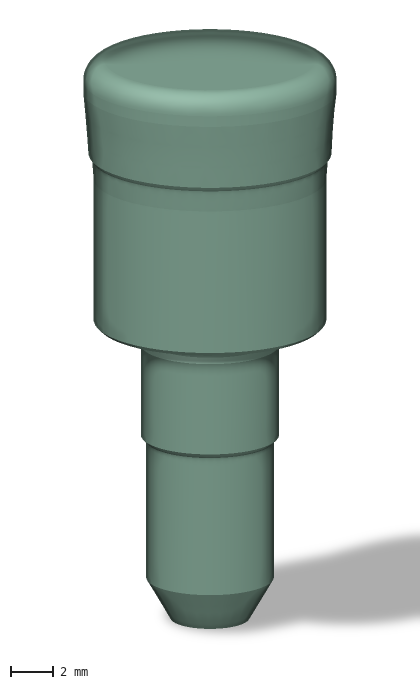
import cadquery as cq

total_height = 27.5

cap_radius = 6.0
cap_rim_fillet = 1.0
cap_straight_bottom_z = 26.0
skirt_bottom_radius = 5.75
skirt_bottom_z = 22.9

collar_top_radius = 5.58
collar_top_z = 22.7
body_radius = 5.5
body_top_z = 21.67
body_bottom_z = 14.5
body_chamfer = 0.2

neck_radius = 2.97
neck_bottom_z = 13.97
flare_radius = 3.02
flare_bottom_z = 13.72

shoulder_radius = 3.27
shoulder_top_z = flare_bottom_z - (shoulder_radius - flare_radius)
shoulder_bottom_z = 9.02

pin_radius = 3.02
pin_top_z = shoulder_bottom_z - (shoulder_radius - pin_radius)
tip_height = 2.0
tip_radius = 1.87


def stem_points():
    """Half profile (radius, z) of the stem, from the tip up to the neck."""
    return [
        (tip_radius, 0),
        (pin_radius, tip_height),
        (pin_radius, pin_top_z),
        (shoulder_radius, shoulder_bottom_z),
        (shoulder_radius, shoulder_top_z),
        (flare_radius, flare_bottom_z),
        (neck_radius, neck_bottom_z),
        (neck_radius, body_bottom_z),
    ]


def head_points():
    """Half profile (radius, z) of the body and cap, up to the top face."""
    return [
        (body_radius - body_chamfer, body_bottom_z),
        (body_radius, body_bottom_z + body_chamfer),
        (body_radius, body_top_z),
        (collar_top_radius, collar_top_z),
        (skirt_bottom_radius, skirt_bottom_z),
        (cap_radius, cap_straight_bottom_z),
        (cap_radius, total_height),
        (0, total_height),
    ]


half_profile = cq.Workplane("XZ").polyline([(0, 0)] + stem_points() + head_points()).close()
turned = half_profile.revolve(360, (0, 0, 0), (0, 1, 0))
result = turned.faces(">Z").edges().fillet(cap_rim_fillet)